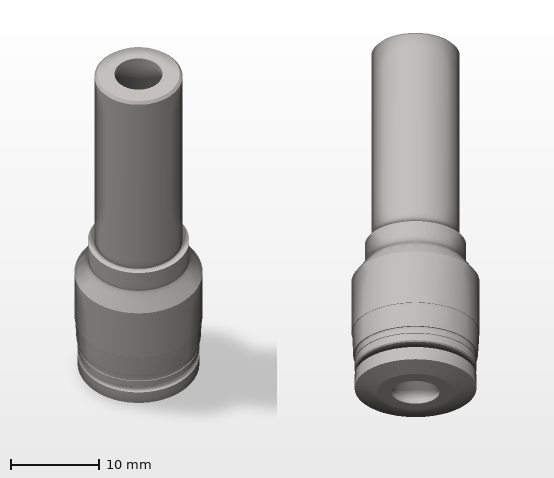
import cadquery as cq

total_length = 43.7

bore_diameter = 5.4
stem_diameter = 9.95
neck_diameter = 9.8
neck_foot_diameter = 10.0
collar_diameter = 11.5
body_diameter = 14.5
skirt_start_diameter = 14.38
skirt_end_diameter = 14.1
ring_diameter = 13.8
bottom_face_diameter = 8.75

flange_bottom = 0.52
flange_top = 2.1
ring_bottom = 2.85
groove_middle = 3.85
ring_top = 4.7
body_bottom = 7.65
body_top = 14.2
collar_bottom = 16.25
collar_top = 18.92

stem_chamfer = 0.3
neck_foot_height = 0.15
ring_chamfer = 0.15
groove_width = 0.15
groove_depth = 0.1
skirt_bulge = 0.05

stem_radius = stem_diameter / 2
neck_radius = neck_diameter / 2
neck_foot_radius = neck_foot_diameter / 2
collar_radius = collar_diameter / 2
body_radius = body_diameter / 2
skirt_start_radius = skirt_start_diameter / 2
skirt_end_radius = skirt_end_diameter / 2
ring_radius = ring_diameter / 2
bottom_face_radius = bottom_face_diameter / 2

skirt_middle = (
    (skirt_start_radius + skirt_end_radius) / 2 + skirt_bulge,
    (body_bottom + ring_top) / 2,
)


def make_outer_body():
    """Revolve the release flange, neck, retaining ring, body, collar and stem."""
    profile = (
        cq.Workplane("XZ")
        .moveTo(0, 0)
        .lineTo(bottom_face_radius, 0)
        .lineTo(ring_radius, flange_bottom)
        .lineTo(ring_radius, flange_top)
        .lineTo(neck_foot_radius, flange_top)
        .lineTo(neck_radius, flange_top + neck_foot_height)
        .lineTo(neck_radius, ring_bottom)
        .lineTo(ring_radius - ring_chamfer, ring_bottom)
        .lineTo(ring_radius, ring_bottom + ring_chamfer)
        .lineTo(ring_radius, ring_top)
        .lineTo(skirt_end_radius, ring_top)
        .threePointArc(skirt_middle, (skirt_start_radius, body_bottom))
        .lineTo(body_radius, body_bottom)
        .lineTo(body_radius, body_top)
        .lineTo(collar_radius, collar_bottom)
        .lineTo(collar_radius, collar_top)
        .lineTo(stem_radius, collar_top)
        .lineTo(stem_radius, total_length - stem_chamfer)
        .lineTo(stem_radius - stem_chamfer, total_length)
        .lineTo(0, total_length)
        .close()
    )
    return profile.revolve(360, (0, 0, 0), (0, 1, 0))


def make_ring_groove():
    """Shallow groove around the retaining ring."""
    return (
        cq.Workplane("XY", origin=(0, 0, groove_middle - groove_width / 2))
        .circle(body_radius)
        .circle(ring_radius - groove_depth)
        .extrude(groove_width)
    )


def make_bore():
    """Straight passage through the whole part."""
    return cq.Workplane("XY").circle(bore_diameter / 2).extrude(total_length)


result = make_outer_body().cut(make_ring_groove()).cut(make_bore())